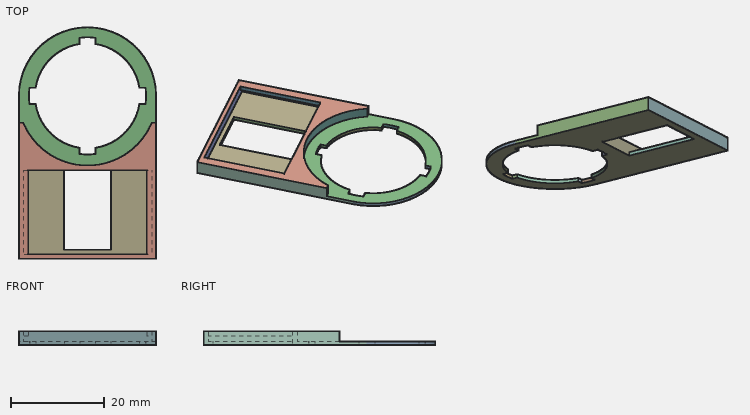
import cadquery as cq

width = 29.5
length = 49.75
height = 3.0
base_thickness = 0.8
end_radius = width / 2
front_y = end_radius - length

hole_radius = 11.25
notch_radius = 12.55
notch_width = 3.4
notch_count = 4

holder_back_y = -5.8
clearance_radius = 14.95

pocket_width = 25.5
pocket_back_y = -16.0
pocket_front_y = -34.0
groove_depth = 1.0
lip_thickness = 1.0
window_width = 10.0
window_front_y = -33.0


def centred_block(block_width, y_front, y_back, z_bottom, z_top):
    """Rectangular block, symmetric about the YZ plane."""
    return (
        cq.Workplane("XY", origin=(0, (y_front + y_back) / 2, z_bottom))
        .rect(block_width, y_back - y_front)
        .extrude(z_top - z_bottom)
    )


def base_plate():
    """Thin plate, square at the front and semicircular at the back."""
    return (
        cq.Workplane("XY")
        .moveTo(-end_radius, front_y)
        .lineTo(end_radius, front_y)
        .lineTo(end_radius, 0)
        .threePointArc((0, end_radius), (-end_radius, 0))
        .close()
        .extrude(base_thickness)
    )


def label_holder():
    """Full-height block over the front of the plate, scooped out around the hole."""
    block = centred_block(width, front_y, holder_back_y, 0, height)
    clearance = cq.Workplane("XY").workplane(offset=base_thickness).circle(clearance_radius).extrude(height)
    return block.cut(clearance)


def notched_hole():
    """Cutter for the hole; the notches end on a larger concentric circle."""
    cutter = cq.Workplane("XY").circle(hole_radius).extrude(height)
    for index in range(notch_count):
        spoke = centred_block(notch_width, 0, 2 * notch_radius, 0, height)
        cutter = cutter.union(spoke.rotate((0, 0, 0), (0, 0, 1), index * 360 / notch_count))
    return cutter.intersect(cq.Workplane("XY").circle(notch_radius).extrude(height))


def label_recess():
    """Cutter for the label pocket, its side grooves and the window below it."""
    pocket = centred_block(pocket_width, pocket_front_y, pocket_back_y, base_thickness, height)
    slot_width = pocket_width + 2 * groove_depth
    slot = centred_block(slot_width, pocket_front_y, pocket_back_y, base_thickness, height - lip_thickness)
    window = centred_block(window_width, window_front_y, pocket_back_y, 0, height)
    return pocket.union(slot).union(window)


result = base_plate().union(label_holder()).cut(notched_hole()).cut(label_recess())